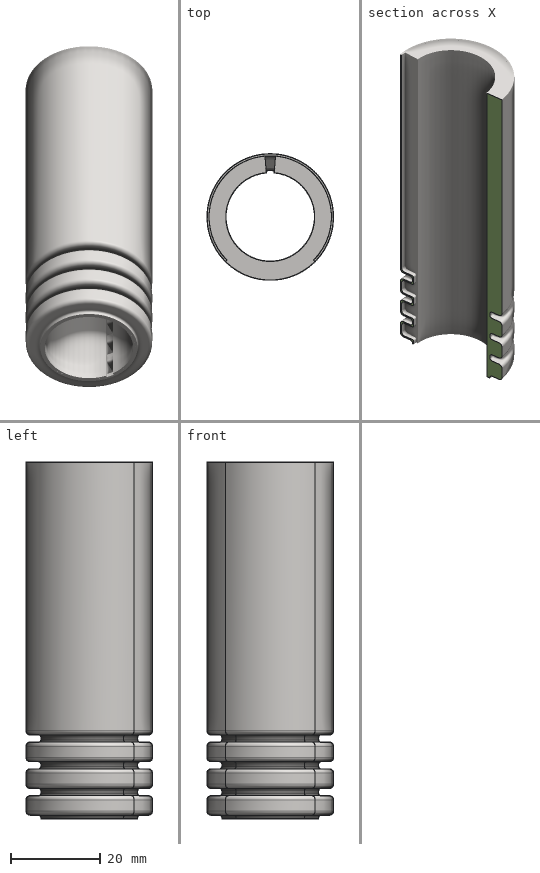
import cadquery as cq
import math

total_height = 80.0
outer_diameter = 28.4
outer_radius = outer_diameter / 2
root_radius = 10.9
bore_radius = 9.9
skin_thickness = 0.5

ring_count = 3
ring_pitch = 6.0
groove_width = 1.6
first_ring_bottom = 0.8
ring_height = ring_pitch - groove_width

rim_fillet = 1.0
root_fillet = 0.5
core_rim_fillet = 0.7
core_root_fillet = 0.5

window_angle = 90.0
window_direction = 270.0
slot_angle = 10.0
slot_direction = 90.0


def add_lower_side(profile, bottom, root, rim, root_corner, rim_corner):
    """Go from the root out to the rim along a ring's lower face."""
    return (
        profile.lineTo(root, bottom - root_corner)
        .radiusArc((root + root_corner, bottom), root_corner)
        .lineTo(rim - rim_corner, bottom)
        .radiusArc((rim, bottom + rim_corner), -rim_corner)
    )


def add_upper_side(profile, top, root, rim, root_corner, rim_corner):
    """Go from the rim back in to the root along a ring's upper face."""
    return (
        profile.lineTo(rim, top - rim_corner)
        .radiusArc((rim - rim_corner, top), -rim_corner)
        .lineTo(root + root_corner, top)
        .radiusArc((root, top + root_corner), root_corner)
    )


def ringed_cylinder(inset, root_corner, rim_corner):
    """Solid ringed cylinder whose whole side surface lies inset below the skin's outside."""
    corners = (root_radius - inset, outer_radius - inset, root_corner, rim_corner)
    profile = cq.Workplane("XZ").lineTo(root_radius - inset, 0)
    for ring in range(ring_count):
        ring_bottom = first_ring_bottom + ring * ring_pitch
        profile = add_lower_side(profile, ring_bottom + inset, *corners)
        profile = add_upper_side(profile, ring_bottom + ring_height - inset, *corners)
    barrel_bottom = first_ring_bottom + ring_count * ring_pitch
    profile = add_lower_side(profile, barrel_bottom + inset, *corners)
    profile = profile.lineTo(outer_radius - inset, total_height).lineTo(0, total_height).close()
    return profile.revolve(360, (0, 0, 0), (0, 1, 0))


def sector(direction, angle):
    """Full-height wedge from the Z axis, centred on the given direction."""
    reach = 2 * outer_radius
    corners = [(0, 0)]
    for edge in (direction - angle / 2, direction + angle / 2):
        angle_to_x = math.radians(edge)
        corners.append((reach * math.cos(angle_to_x), reach * math.sin(angle_to_x)))
    return cq.Workplane("XY").polyline(corners).close().extrude(total_height)


outside = ringed_cylinder(0, root_fillet, rim_fillet)
inside = ringed_cylinder(skin_thickness, core_root_fillet, core_rim_fillet)
window = sector(window_direction, window_angle)


def make_skin():
    """Thin shell over the rings and barrel, open over the window."""
    return outside.cut(inside).cut(window)


def make_core():
    """Slotted tube that carries the skin and fills its window out to the full radius."""
    bore = cq.Workplane("XY").circle(bore_radius).extrude(total_height)
    slot = sector(slot_direction, slot_angle)
    return inside.union(outside.intersect(window)).cut(bore).cut(slot)


skin = make_skin()
core = make_core()

result = cq.Compound.makeCompound([skin.solids().val(), core.solids().val()])